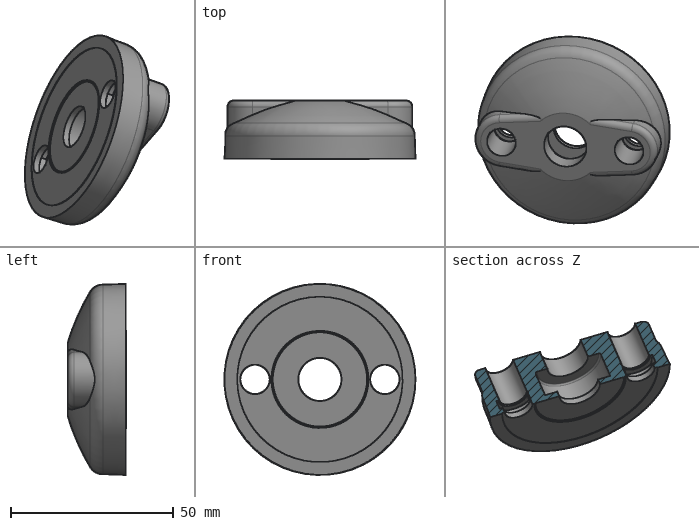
import cadquery as cq
import math


rim_radius = 29.5
wall_top_radius = 29.25
wall_height = 7.1
shoulder_end_radius = 26.8
shoulder_end_depth = 11.15
shoulder_curve = 4.6
crown_top_radius = 11.15
crown_curve = 70.0
total_depth = 18.0

screw_offset = 20.0
boss_end_radius = 8.5
boss_middle_radius = 10.6
boss_edge_fillet = 1.95

plate_radius = 25.5
plate_recess = 0.2
plate_thickness = 2.0
plate_back = plate_recess + plate_thickness

lip_outer_radius = 15.0
lip_inner_radius = 14.5
lip_height = 0.2

pocket_floor = 5.1
pocket_radius = 6.95
hub_radius = 15.45
core_radius = 10.6
core_depth = 11.15
core_fillet = 0.55

spindle_radius = 6.6
screw_radius = 4.5
screw_chamfer = 0.35


def disc(radius, start, end, x=0.0):
    """Cylinder along Y between two depths."""
    axis_point = cq.Vector(x, start, 0)
    return cq.Workplane(cq.Solid.makeCylinder(radius, end - start, axis_point, cq.Vector(0, 1, 0)))


def make_cover():
    profile = (
        cq.Workplane("XY")
        .lineTo(rim_radius, 0)
        .lineTo(wall_top_radius, wall_height)
        .radiusArc((shoulder_end_radius, shoulder_end_depth), -shoulder_curve)
        .radiusArc((crown_top_radius, total_depth), -crown_curve)
        .lineTo(0, total_depth)
        .close()
    )
    return profile.revolve(360, (0, 0, 0), (0, 1, 0))


def make_boss():
    """Flat-topped boss: two end arcs joined by tangent lines to a larger middle arc."""
    slope = math.asin((boss_middle_radius - boss_end_radius) / screw_offset)
    end_x = screw_offset + boss_end_radius * math.sin(slope)
    end_z = boss_end_radius * math.cos(slope)
    middle_x = boss_middle_radius * math.sin(slope)
    middle_z = boss_middle_radius * math.cos(slope)
    tip_x = screw_offset + boss_end_radius
    outline = (
        cq.Workplane("XZ", origin=(0, total_depth, 0))
        .moveTo(middle_x, middle_z)
        .lineTo(end_x, end_z)
        .threePointArc((tip_x, 0), (end_x, -end_z))
        .lineTo(middle_x, -middle_z)
        .threePointArc((0, -boss_middle_radius), (-middle_x, -middle_z))
        .lineTo(-end_x, -end_z)
        .threePointArc((-tip_x, 0), (-end_x, end_z))
        .lineTo(-middle_x, middle_z)
        .threePointArc((0, boss_middle_radius), (middle_x, middle_z))
        .close()
    )
    boss = outline.extrude(total_depth - wall_height)
    return boss.faces(">Y").edges().fillet(boss_edge_fillet)


def make_lip():
    """Ring with an upright outer wall and a sloping inner wall, ending in a sharp edge."""
    profile = (
        cq.Workplane("XY")
        .moveTo(lip_inner_radius, plate_recess)
        .lineTo(lip_outer_radius, -lip_height)
        .lineTo(lip_outer_radius, plate_recess)
        .close()
    )
    return profile.revolve(360, (0, 0, 0), (0, 1, 0))


def make_core():
    core = disc(core_radius, plate_back, core_depth)
    return core.faces(">Y").edges().fillet(core_fillet)


def make_screw_pocket(x):
    """Round pocket around a screw, cut short by the plate seat and by the hub."""
    pocket = disc(pocket_radius, plate_back, pocket_floor, x)
    seat = disc(plate_radius, plate_back, pocket_floor)
    hub = disc(hub_radius, plate_back, pocket_floor)
    return pocket.intersect(seat).cut(hub)


def make_screw_hole(x):
    """Through hole with a chamfer where it leaves the pocket floor."""
    hole = disc(screw_radius, 0, total_depth, x)
    countersink = cq.Solid.makeCone(
        screw_radius + screw_chamfer,
        screw_radius,
        screw_chamfer,
        cq.Vector(x, pocket_floor, 0),
        cq.Vector(0, 1, 0),
    )
    return hole.union(cq.Workplane(countersink))


result = make_cover().union(make_boss())
result = result.cut(disc(plate_radius, 0, plate_recess))
result = result.union(make_lip())
result = result.cut(make_core())
result = result.cut(disc(spindle_radius, 0, total_depth))
for screw_x in (-screw_offset, screw_offset):
    result = result.cut(make_screw_pocket(screw_x))
    result = result.cut(make_screw_hole(screw_x))